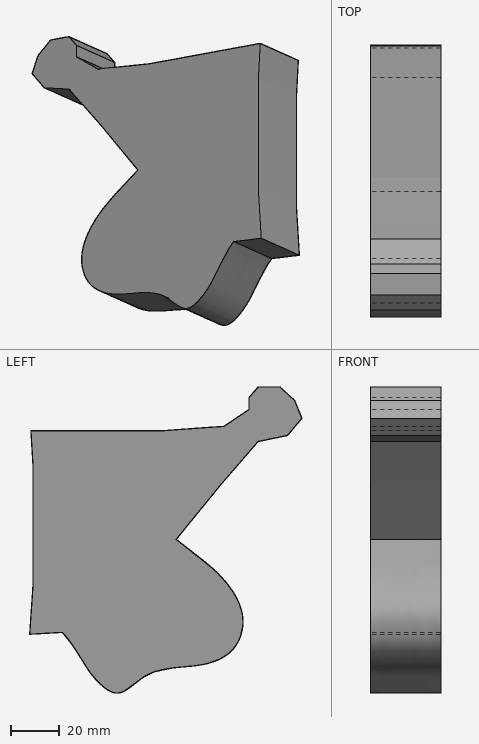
import cadquery as cq

thickness = 29.0
height = 125.7
length = 111.7

top_level = 107.7
back_face_y = 110.3
back_top_corner = (111.2, top_level)
back_bottom_corner = (length, 24.1)
back_face_top = (back_face_y, 93.0)
back_face_bottom = (back_face_y, 44.6)

neck = [(57.2, top_level), (38.2, 109.1), (32.0, 109.5), (21.7, 116.4)]

knob = [
    (21.7, 121.3),
    (18.0, height),
    (9.0, height),
    (2.9, 120.0),
    (0, 112.7),
    (5.9, 105.7),
    (18.0, 103.2),
]

notch_bend = (33.3, 85.5)
notch_corner = (51.5, 63.1)

lobe_front = (24.1, 28.8)
lowest_point = (76.0, 0)
heel_corner = (98.3, 24.9)
lower_curve = [
    (41.5, 55.3),
    (30.7, 45.0),
    lobe_front,
    (28.4, 17.8),
    (39.0, 12.1),
    (55.9, 9.9),
    (65.1, 6.5),
    lowest_point,
    (83.2, 4.1),
    (90.6, 14.1),
    heel_corner,
]

straight_edges = [
    back_bottom_corner,
    back_face_bottom,
    back_face_top,
    back_top_corner,
    *neck,
    *knob,
    notch_bend,
    notch_corner,
]

result = (
    cq.Workplane("YZ")
    .moveTo(*heel_corner)
    .polyline(straight_edges, includeCurrent=True)
    .spline(lower_curve, includeCurrent=True)
    .close()
    .extrude(thickness)
)